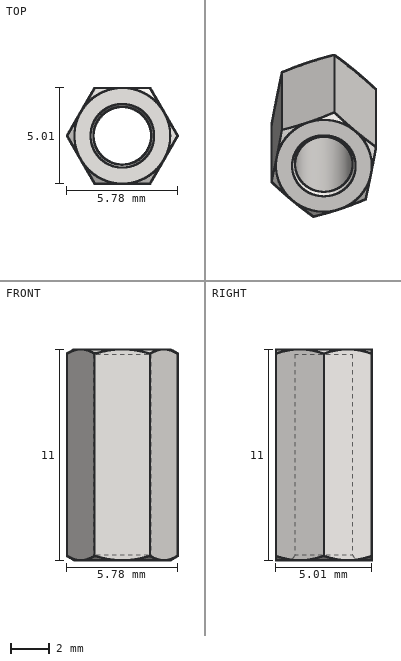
import cadquery as cq
import math

length = 11.0
across_corners = 5.78
end_face_diameter = 5.0
end_chamfer_angle = 30.0
bore_diameter = 3.0
countersink_diameter = 3.32
countersink_angle = 60.0
hexagon_sides = 6

corner_radius = across_corners / 2
end_face_radius = end_face_diameter / 2
bore_radius = bore_diameter / 2
countersink_radius = countersink_diameter / 2
chamfer_height = (corner_radius - end_face_radius) * math.tan(math.radians(end_chamfer_angle))
countersink_depth = (countersink_radius - bore_radius) / math.tan(math.radians(countersink_angle / 2))


def coned_cylinder(body_radius, end_radius, cone_height):
    """Full-length cylinder about Z whose radius tapers to end_radius at both ends."""
    half_profile = [
        (0, 0),
        (end_radius, 0),
        (body_radius, cone_height),
        (body_radius, length - cone_height),
        (end_radius, length),
        (0, length),
    ]
    return cq.Workplane("XZ").polyline(half_profile).close().revolve(360, (0, 0), (0, 1))


def hexagonal_bar():
    """Hexagonal bar standing on the XY plane, with two corners on the X axis."""
    return cq.Workplane("XY").polygon(hexagon_sides, across_corners).extrude(length)


chamfer_envelope = coned_cylinder(corner_radius, end_face_radius, chamfer_height)

countersunk_bore = coned_cylinder(bore_radius, countersink_radius, countersink_depth)

result = hexagonal_bar().intersect(chamfer_envelope).cut(countersunk_bore)